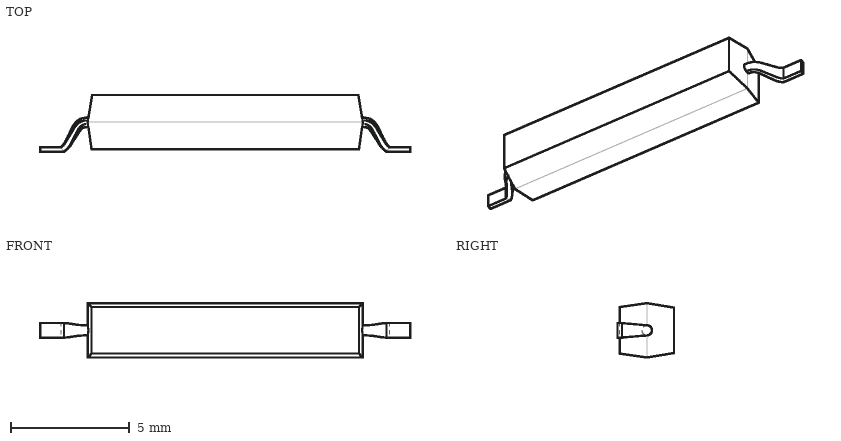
import cadquery as cq
import math

body_length = 11.6
body_height = 2.3
front_depth = 1.15
back_depth = 1.15
front_inset = 0.165
back_inset = 0.19

overall_length = 15.6
wire_diameter = 0.42
strip_width = 0.63
foot_thickness = 0.20
foot_drop = 0.10
foot_length = 0.94
ankle_angle = math.radians(32)
slope_angle = math.radians(60)
slope_mid_x_offset = 0.64
slope_mid_y = -0.57
wire_embed = 0.3

body_end_x = -body_length / 2
foot_tip_x = -overall_length / 2
foot_bottom_y = -front_depth - foot_drop
foot_top_y = foot_bottom_y + foot_thickness
foot_centre_y = (foot_bottom_y + foot_top_y) / 2
ankle_x = foot_tip_x + foot_length
ankle_shift = foot_thickness / 2 * math.tan(ankle_angle)
ankle_thickness = foot_thickness / math.cos(ankle_angle)


def drafted_half(depth, inset, direction):
    """Half of the body, tapering from the parting plane at Y = 0 to its outer face."""
    parting_plane = cq.Plane(origin=(0, 0, 0), xDir=(1, 0, 0), normal=(0, direction, 0))
    return (
        cq.Workplane(parting_plane)
        .rect(body_length, body_height)
        .workplane(offset=depth)
        .rect(body_length - 2 * inset, body_height - 2 * inset)
        .loft(ruled=True, combine=True)
    )


def foot():
    """Flat foot, cut square to the lead where it turns up towards the body."""
    return (
        cq.Workplane("XY")
        .workplane(offset=-strip_width / 2)
        .moveTo(foot_tip_x, foot_bottom_y)
        .lineTo(ankle_x + ankle_shift, foot_bottom_y)
        .lineTo(ankle_x - ankle_shift, foot_top_y)
        .lineTo(foot_tip_x, foot_top_y)
        .close()
        .extrude(strip_width)
    )


def outward_direction(angle):
    """Direction from the body towards the foot, dropping at the given angle from -X."""
    return (-math.cos(angle), -math.sin(angle))


def wire_section(plane):
    """Round wire outline split into four arcs that match the four sides of the strip."""
    radius = wire_diameter / 2
    corner_angle = math.atan2(ankle_thickness, strip_width)
    corner_x = radius * math.cos(corner_angle)
    corner_y = radius * math.sin(corner_angle)
    return (
        cq.Workplane(plane)
        .moveTo(-corner_x, -corner_y)
        .threePointArc((0, -radius), (corner_x, -corner_y))
        .threePointArc((radius, 0), (corner_x, corner_y))
        .threePointArc((0, radius), (-corner_x, corner_y))
        .threePointArc((-radius, 0), (-corner_x, -corner_y))
        .wire()
        .val()
    )


def strip_section(plane):
    """Flat strip outline, started at the same corner as the round wire outline."""
    half_width = strip_width / 2
    half_thickness = ankle_thickness / 2
    return (
        cq.Workplane(plane)
        .moveTo(-half_width, -half_thickness)
        .lineTo(half_width, -half_thickness)
        .lineTo(half_width, half_thickness)
        .lineTo(-half_width, half_thickness)
        .close()
        .wire()
        .val()
    )


def formed_wire():
    """Bent wire that changes from a circle at the body to a flat strip at the ankle."""
    path = cq.Workplane("XY").spline(
        [
            (body_end_x, 0),
            (body_end_x - slope_mid_x_offset, slope_mid_y),
            (ankle_x, foot_centre_y),
        ],
        tangents=[outward_direction(0), outward_direction(slope_angle), outward_direction(ankle_angle)],
    )
    body_plane = cq.Plane(
        origin=(body_end_x, 0, 0),
        xDir=(0, 0, 1),
        normal=(*outward_direction(0), 0),
    )
    ankle_plane = cq.Plane(
        origin=(ankle_x, foot_centre_y, 0),
        xDir=(0, 0, 1),
        normal=(*outward_direction(ankle_angle), 0),
    )
    sections = [wire_section(body_plane), strip_section(ankle_plane)]
    return cq.Workplane(cq.Solid.sweep_multi(sections, path.val()))


def embedded_wire():
    """Short round length of wire joining the lead to the body."""
    return (
        cq.Workplane("YZ")
        .workplane(offset=body_end_x)
        .circle(wire_diameter / 2)
        .extrude(wire_embed)
    )


body = drafted_half(front_depth, front_inset, -1).union(drafted_half(back_depth, back_inset, 1))
lead = foot().union(formed_wire()).union(embedded_wire())
result = body.union(lead).union(lead.mirror("YZ"))